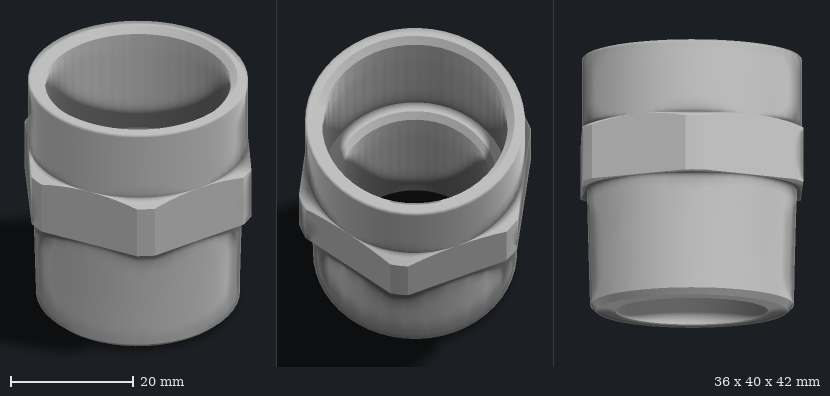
import cadquery as cq

total_height = 42.0
hex_bottom = 20.0
hex_top = 30.0
socket_floor = 23.0

across_flats = 36.0
across_corners = 40.0
hex_bevel_height = 1.0
collar_radius = across_flats / 2
collar_rim_round = 0.5
spigot_top_radius = 17.18
spigot_end_radius = 16.67
spigot_chamfer_width = 1.1
spigot_chamfer_height = 1.0

socket_radius = 15.2
bore_radius = 12.47
bore_chamfer = 1.0
socket_chamfer = 1.05


def revolve_profile(points):
    """Revolve a closed outline of (radius, height) points about the Z axis."""
    return cq.Workplane("XZ").polyline(points).close().revolve(360, (0, 0, 0), (0, 1, 0))


def make_spigot():
    """Tapered lower end with a chamfered tip."""
    return revolve_profile([
        (0, 0),
        (spigot_end_radius - spigot_chamfer_width, 0),
        (spigot_end_radius, spigot_chamfer_height),
        (spigot_top_radius, hex_bottom),
        (0, hex_bottom),
    ])


def make_hexagon():
    """Hexagon, flats facing -X and +X, with corners rounded to a cylinder and bevelled on top."""
    prism = (
        cq.Workplane("XY")
        .workplane(offset=hex_bottom)
        .polygon(6, across_flats, circumscribed=True)
        .extrude(hex_top - hex_bottom)
    )
    corner_radius = across_corners / 2
    envelope = revolve_profile([
        (0, hex_bottom),
        (corner_radius, hex_bottom),
        (corner_radius, hex_top - hex_bevel_height),
        (collar_radius, hex_top),
        (0, hex_top),
    ])
    return prism.intersect(envelope)


def make_collar():
    """Plain upper cylinder with a rounded outer rim."""
    return (
        cq.Workplane("XY")
        .workplane(offset=hex_bottom)
        .circle(collar_radius)
        .extrude(total_height - hex_bottom)
        .faces(">Z")
        .edges()
        .fillet(collar_rim_round)
    )


def make_passage():
    """Through bore and wider socket, each with a chamfered mouth."""
    return revolve_profile([
        (0, 0),
        (bore_radius, 0),
        (bore_radius, socket_floor - bore_chamfer),
        (bore_radius + bore_chamfer, socket_floor),
        (socket_radius, socket_floor),
        (socket_radius, total_height - socket_chamfer),
        (socket_radius + socket_chamfer, total_height),
        (0, total_height),
    ])


result = make_spigot().union(make_hexagon()).union(make_collar()).cut(make_passage())